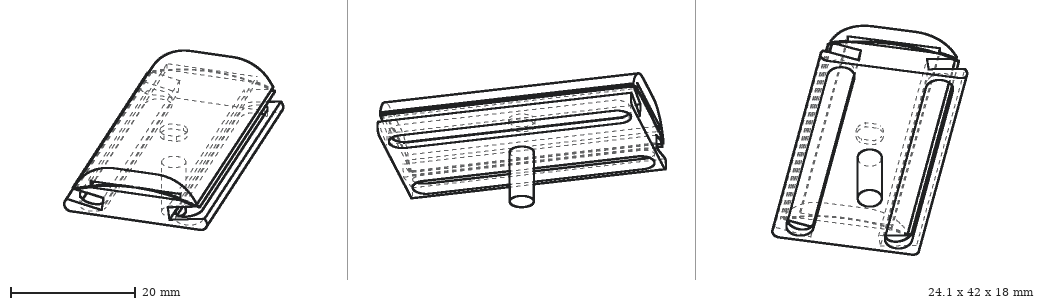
import cadquery as cq
import math

OVERALL_HEIGHT = 18.0

LENGTH = 42.0
BASE_WIDTH = 24.05
WING_TIP_RADIUS = 1.18
WING_EDGE_HALF_WIDTH = 11.65
WING_EDGE_HEIGHT = 2.2
WING_TIP_START_HEIGHT = 1.75
NECK_BOTTOM_HALF_WIDTH = 5.7
NECK_BOTTOM_HEIGHT = 1.05
NECK_TOP_HALF_WIDTH = 5.4
NECK_TOP_HEIGHT = 3.28
LIP_HALF_WIDTH = 10.1
BASE_TOP_HEIGHT = 4.9

SLOT_WIDTH = 4.4
SLOT_END_Y = 20.0
SLOT_CENTER_X = 8.05

STUD_DIAMETER = 3.9
STUD_LENGTH = OVERALL_HEIGHT / 2
BOSS_DIAMETER = 4.4
BOSS_ACROSS_FLATS = STUD_DIAMETER

STRIP_APEX_HEIGHT = 6.05
STRIP_HALF_WIDTH = 10.75
STRIP_EDGE_HEIGHT = 4.07
STRIP_THICKNESS = 0.15
STRIP_END_GAP = 0.3
STRIP_LENGTH = LENGTH - 2 * STRIP_END_GAP

COVER_TOP_HEIGHT = OVERALL_HEIGHT / 2
COVER_FLAT_HALF_WIDTH = 3.55
COVER_ARC_HALF_WIDTH = 9.75
COVER_ARC_HEIGHT = 5.6
COVER_HALF_WIDTH = 10.35
COVER_EDGE_HEIGHT = 4.58
COVER_SEAT_HALF_WIDTH = 10.15
RECESS_HALF_WIDTH = 7.55
RECESS_CEILING = STRIP_APEX_HEIGHT

STRIP_DROP = STRIP_APEX_HEIGHT - STRIP_EDGE_HEIGHT
STRIP_OUTER_RADIUS = (STRIP_HALF_WIDTH**2 + STRIP_DROP**2) / (2 * STRIP_DROP)
STRIP_INNER_RADIUS = STRIP_OUTER_RADIUS - STRIP_THICKNESS
STRIP_CENTER_HEIGHT = STRIP_APEX_HEIGHT - STRIP_OUTER_RADIUS


def arc_height(radius, x):
    """Height at x of an arc about the strip's axis."""
    return STRIP_CENTER_HEIGHT + math.sqrt(radius**2 - x**2)


def arc_half_width(radius, z):
    """Half width at height z of an arc about the strip's axis."""
    return math.sqrt(radius**2 - (z - STRIP_CENTER_HEIGHT)**2)


def on_strip_arc(radius, x):
    """Point at x on an arc about the strip's axis."""
    return (x, arc_height(radius, x))


def extrude_along_y(profile, length):
    """Extrude an XZ profile symmetrically about the middle plane."""
    return profile.extrude(length / 2, both=True)


def base_profile():
    """Closed outline of the right half of the rail."""
    tip_center_x = BASE_WIDTH / 2 - WING_TIP_RADIUS
    tip_rise = WING_TIP_START_HEIGHT - WING_TIP_RADIUS
    tip_start_x = tip_center_x + math.sqrt(WING_TIP_RADIUS**2 - tip_rise**2)
    top_half_width = arc_half_width(STRIP_INNER_RADIUS, BASE_TOP_HEIGHT)
    seat_middle_x = (top_half_width + LIP_HALF_WIDTH) / 2
    return (
        cq.Workplane("XZ")
        .moveTo(0, 0)
        .lineTo(tip_center_x, 0)
        .threePointArc((BASE_WIDTH / 2, WING_TIP_RADIUS), (tip_start_x, WING_TIP_START_HEIGHT))
        .lineTo(WING_EDGE_HALF_WIDTH, WING_EDGE_HEIGHT)
        .lineTo(NECK_BOTTOM_HALF_WIDTH, NECK_BOTTOM_HEIGHT)
        .lineTo(NECK_TOP_HALF_WIDTH, NECK_TOP_HEIGHT)
        .lineTo(*on_strip_arc(STRIP_INNER_RADIUS, LIP_HALF_WIDTH))
        .threePointArc(
            on_strip_arc(STRIP_INNER_RADIUS, seat_middle_x),
            (top_half_width, BASE_TOP_HEIGHT),
        )
        .lineTo(0, BASE_TOP_HEIGHT)
        .close()
    )


def wing_slots():
    """Cutters for the round-ended slot through each wing."""
    return (
        cq.Workplane("XY")
        .pushPoints([(-SLOT_CENTER_X, 0), (SLOT_CENTER_X, 0)])
        .slot2D(2 * SLOT_END_Y, SLOT_WIDTH, 90)
        .extrude(WING_EDGE_HEIGHT)
    )


def boss():
    """Round boss with two flats, reaching up to the strip."""
    height = arc_height(STRIP_INNER_RADIUS, BOSS_DIAMETER / 2) - BASE_TOP_HEIGHT
    base_top = cq.Workplane("XY").workplane(offset=BASE_TOP_HEIGHT)
    flats = base_top.rect(BOSS_DIAMETER, BOSS_ACROSS_FLATS).extrude(height)
    return base_top.circle(BOSS_DIAMETER / 2).extrude(height).intersect(flats)


def make_base():
    right_half = extrude_along_y(base_profile(), LENGTH)
    rail = right_half.union(right_half.mirror("YZ")).cut(wing_slots())
    stud = cq.Workplane("XY").circle(STUD_DIAMETER / 2).extrude(-STUD_LENGTH)
    return rail.union(stud).union(boss())


def make_strip():
    inner_half_width = STRIP_HALF_WIDTH * STRIP_INNER_RADIUS / STRIP_OUTER_RADIUS
    profile = (
        cq.Workplane("XZ")
        .moveTo(-STRIP_HALF_WIDTH, STRIP_EDGE_HEIGHT)
        .threePointArc((0, STRIP_APEX_HEIGHT), (STRIP_HALF_WIDTH, STRIP_EDGE_HEIGHT))
        .lineTo(*on_strip_arc(STRIP_INNER_RADIUS, inner_half_width))
        .threePointArc(
            (0, STRIP_APEX_HEIGHT - STRIP_THICKNESS),
            on_strip_arc(STRIP_INNER_RADIUS, -inner_half_width),
        )
        .close()
    )
    return extrude_along_y(profile, STRIP_LENGTH)


def cover_profile():
    """Closed outline of the right half of the cover."""
    seat_middle_x = (RECESS_HALF_WIDTH + COVER_SEAT_HALF_WIDTH) / 2
    return (
        cq.Workplane("XZ")
        .moveTo(0, COVER_TOP_HEIGHT)
        .lineTo(COVER_FLAT_HALF_WIDTH, COVER_TOP_HEIGHT)
        .tangentArcPoint((COVER_ARC_HALF_WIDTH, COVER_ARC_HEIGHT), relative=False)
        .lineTo(COVER_HALF_WIDTH, COVER_EDGE_HEIGHT)
        .lineTo(*on_strip_arc(STRIP_OUTER_RADIUS, COVER_SEAT_HALF_WIDTH))
        .threePointArc(
            on_strip_arc(STRIP_OUTER_RADIUS, seat_middle_x),
            on_strip_arc(STRIP_OUTER_RADIUS, RECESS_HALF_WIDTH),
        )
        .lineTo(RECESS_HALF_WIDTH, RECESS_CEILING)
        .lineTo(0, RECESS_CEILING)
        .close()
    )


def make_cover():
    right_half = extrude_along_y(cover_profile(), LENGTH)
    return right_half.union(right_half.mirror("YZ"))


base = make_base()
strip = make_strip()
cover = make_cover()

result = cq.Compound.makeCompound([base.val(), strip.val(), cover.val()])